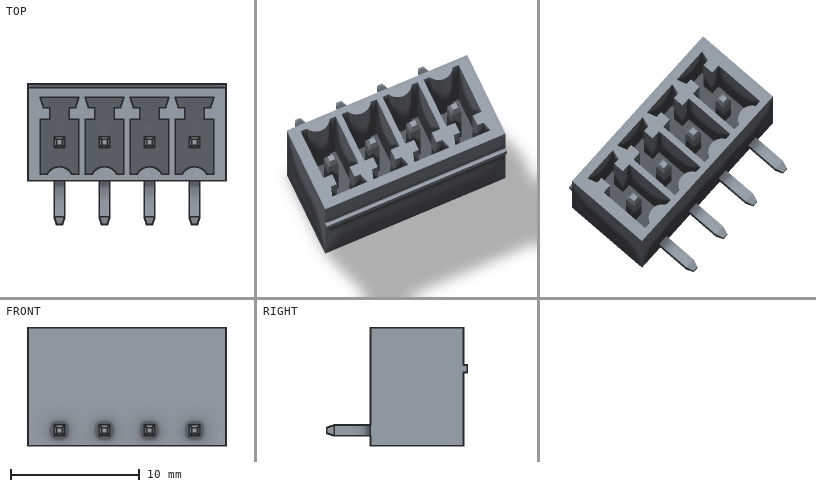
import cadquery as cq

poles = 4
pitch = 3.5
end_margin = 2.45
body_width = (poles - 1) * pitch + 2 * end_margin
body_depth = 7.25
body_height = 9.2

ridge_depth = 0.3
ridge_height = 0.6
ridge_bottom = 5.7

floor_height = 2.0
cavity_half_width = 1.5
neck_half_width = 0.75
dovetail_half_width = 1.25
front_wall = 0.5
neck_front = 4.8
neck_rear = 5.7
cavity_rear = 6.5
rib_radius = 1.1

pin_size = 0.85
pin_tip_size = 0.45
pin_taper_length = 0.6
tail_length = 3.4
tail_height = 1.2
post_y = 3.0
post_top = 7.8

pole_positions = [(i - (poles - 1) / 2) * pitch for i in range(poles)]


def make_housing():
    """Rectangular block with the ridge across its rear face."""
    block = cq.Workplane("XY").box(body_width, body_depth, body_height, centered=(True, False, False))
    ridge = (
        cq.Workplane("XY")
        .box(body_width, ridge_depth, ridge_height, centered=(True, False, False))
        .translate((0, body_depth, ridge_bottom))
    )
    return block.union(ridge)


def make_cavity(x):
    """Keyed pocket: wide front chamber, narrow neck and dovetail, less a round rib at the front."""
    right_side = [
        (cavity_half_width, front_wall),
        (cavity_half_width, neck_front),
        (neck_half_width, neck_front),
        (neck_half_width, neck_rear),
        (dovetail_half_width, neck_rear),
        (cavity_half_width, cavity_rear),
    ]
    left_side = [(-px, py) for px, py in reversed(right_side)]
    cavity_height = body_height - floor_height
    pocket = cq.Workplane("XY").polyline(right_side + left_side).close().extrude(cavity_height)
    rib = cq.Workplane("XY").circle(rib_radius).extrude(cavity_height)
    return pocket.cut(rib).translate((x, 0, floor_height))


def make_pin(plane, length):
    """Square pin grown from the plane's origin, its far end tapered; length includes the taper."""
    shank_length = length - pin_taper_length
    shank = cq.Workplane(plane).rect(pin_size, pin_size).extrude(shank_length)
    tip = (
        cq.Workplane(plane)
        .workplane(offset=shank_length)
        .rect(pin_size, pin_size)
        .workplane(offset=pin_taper_length)
        .rect(pin_tip_size, pin_tip_size)
        .loft(ruled=True)
    )
    return shank.union(tip)


def make_contact(x):
    """L-shaped contact: a tail out of the front face and a post up into the cavity."""
    tail = make_pin("XZ", post_y + tail_length).translate((x, post_y, tail_height))
    post = make_pin("XY", post_top - tail_height).translate((x, post_y, tail_height))
    return tail.union(post)


result = make_housing()
for pole_x in pole_positions:
    result = result.cut(make_cavity(pole_x))
for pole_x in pole_positions:
    result = result.union(make_contact(pole_x))